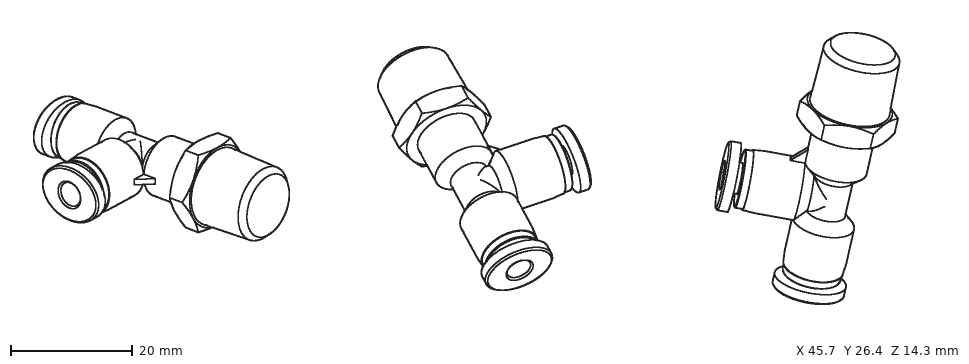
import cadquery as cq
import math


branch_angle = 90
arm_radius = 10.4 / 2
waist_radius = 6.6 / 2
lip_radius = 9.8 / 2
taper_end_radius = 10.1 / 2
lip_chamfer = 0.15
arm_reach = 15.15
lip_length = 1.35
taper_length = 1.9
stud_joint_x = 12.65
gusset_leg = 2.45
gusset_thickness = 1.0

rim_reach = 18.1
rim_thickness = 2.0
rim_width = 12.05
rim_height = 9.8
rim_chamfer = 0.3
sleeve_radius = 5.2 / 2
tube_bore_radius = 4.2 / 2
bore_chamfer = 0.3
sleeve_end = arm_reach - lip_length - taper_length

hex_across_flats = 14.3
hex_thickness = 4.0
hex_chamfer_angle = 30
stud_end_x = 45.7 - rim_reach
thread_start_radius = 13.45 / 2
thread_end_radius = 12.85 / 2
tip_chamfer_length = 1.1
tip_chamfer_depth = 0.95


def revolve_about_x(points):
    """Turn a closed outline of (x, radius) points about the X axis."""
    return cq.Workplane("XY").polyline(points).close().revolve(360, (0, 0, 0), (1, 0, 0))


def turn_about_z(shape, angle):
    return shape.rotate((0, 0, 0), (0, 0, 1), angle)


def point_to_branch(shape):
    """Swing a shape on the -X arm round onto the -Y arm."""
    return turn_about_z(shape, branch_angle)


def tube_arm_outline():
    """Points of an arm along -X, open end first: stepped lip, taper, barrel and 45 degree cone."""
    taper_end_x = -arm_reach + lip_length
    return [
        (-arm_reach, 0),
        (-arm_reach, lip_radius - lip_chamfer),
        (-arm_reach + lip_chamfer, lip_radius),
        (taper_end_x, lip_radius),
        (taper_end_x, taper_end_radius),
        (taper_end_x + taper_length, arm_radius),
        (-arm_radius, arm_radius),
        (-waist_radius, waist_radius),
    ]


def make_run():
    """Tube arm on -X and, past the waist, a cone and barrel up to the stud."""
    stud_arm_outline = [
        (waist_radius, waist_radius),
        (arm_radius, arm_radius),
        (stud_joint_x, arm_radius),
        (stud_joint_x, 0),
    ]
    return revolve_about_x(tube_arm_outline() + stud_arm_outline)


def make_branch():
    """Tube arm on -Y, ending at the axis of the run."""
    return point_to_branch(revolve_about_x(tube_arm_outline() + [(0, waist_radius), (0, 0)]))


def make_gusset():
    """Thin web in the corner between the branch and the stud arm."""
    tip = arm_radius + gusset_leg
    return (
        cq.Workplane("XY")
        .polyline([
            (waist_radius, -waist_radius),
            (tip, -waist_radius),
            (tip, -arm_radius),
            (arm_radius, -tip),
            (waist_radius, -tip),
        ])
        .close()
        .extrude(gusset_thickness / 2, both=True)
    )


def make_socket():
    """Blind hole in the -X arm that holds a collar sleeve."""
    return cq.Workplane("YZ", origin=(-arm_reach, 0, 0)).circle(sleeve_radius).extrude(arm_reach - sleeve_end)


def make_tee():
    solid_tee = make_run().union(make_branch()).union(make_gusset())
    socket = make_socket()
    return solid_tee.cut(socket).cut(point_to_branch(socket))


def make_collar():
    """Release collar on the -X arm: oval push rim on a bored sleeve."""
    face = cq.Workplane("YZ", origin=(-rim_reach, 0, 0))
    rim = face.ellipse(rim_width / 2, rim_height / 2).extrude(rim_thickness)
    rim = rim.faces("<X").edges().chamfer(rim_chamfer)
    sleeve = face.circle(sleeve_radius).extrude(rim_reach - sleeve_end)
    bore = face.circle(tube_bore_radius).extrude(rim_reach - sleeve_end)
    mouth_radius = tube_bore_radius + bore_chamfer
    bore_mouth = revolve_about_x([
        (-rim_reach, 0),
        (-rim_reach, mouth_radius),
        (-rim_reach + bore_chamfer, tube_bore_radius),
        (-rim_reach + bore_chamfer, 0),
    ])
    return rim.union(sleeve).cut(bore).cut(bore_mouth)


def make_hex():
    """Hexagon with corners on +Y and -Y, chamfered at both faces."""
    corner_radius = hex_across_flats / 2 / math.cos(math.radians(30))
    flat_radius = hex_across_flats / 2
    chamfer_length = (corner_radius - flat_radius) * math.tan(math.radians(hex_chamfer_angle))
    hex_end_x = stud_joint_x + hex_thickness
    prism = (
        cq.Workplane("YZ", origin=(stud_joint_x, 0, 0))
        .polygon(6, 2 * corner_radius)
        .extrude(hex_thickness)
    )
    chamfer_envelope = revolve_about_x([
        (stud_joint_x, 0),
        (stud_joint_x, flat_radius),
        (stud_joint_x + chamfer_length, corner_radius),
        (hex_end_x - chamfer_length, corner_radius),
        (hex_end_x, flat_radius),
        (hex_end_x, 0),
    ])
    return prism.intersect(chamfer_envelope)


def make_stud():
    """Male stud: hexagon followed by a tapered, chamfered thread blank."""
    hex_end_x = stud_joint_x + hex_thickness
    thread = revolve_about_x([
        (hex_end_x, 0),
        (hex_end_x, thread_start_radius),
        (stud_end_x - tip_chamfer_length, thread_end_radius),
        (stud_end_x, thread_end_radius - tip_chamfer_depth),
        (stud_end_x, 0),
    ])
    return make_hex().union(thread)


tee = make_tee()
stud = make_stud()
collars = []
for arm_angle in (0, branch_angle):
    collars.append(turn_about_z(make_collar(), arm_angle))

result = cq.Compound.makeCompound([tee.val(), stud.val(), *[collar.val() for collar in collars]])